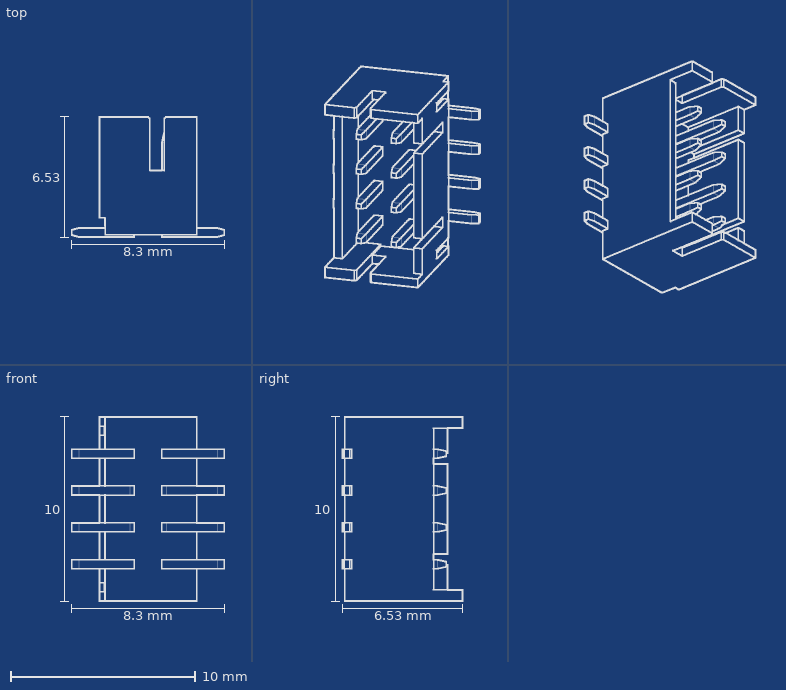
import cadquery as cq

length = 10.0
half_width = 2.65
depth = 6.41
left_end_wall = 0.5
right_end_wall = 0.6
side_wall = 0.49
cavity_floor = 2.01

foot_setback = 0.32
foot_depth = 0.93

left_rim = 5.6
right_rim = 4.83

wall_slot_inner = 2.45
wall_slot_outer = 3.03
wall_slot_floor = 2.01

groove_inner = 4.0
groove_outer = 4.5
groove_top = 3.01
groove_depth = 0.27

key_slot_left = 0.1
key_slot_right = 0.87
key_slot_floor = 3.51
key_slot_chamfer = 0.1

pin_size = 0.5
pin_pitch = 2.0
pins_per_row = 4
pin_span = 8.3
pin_drop = 0.12
pin_tip = 5.53
pin_taper = 0.11
tip_taper_length = 0.51
tail_taper_length = 0.38
bend_length = 0.23


def block(x0, x1, y0, y1, z0, z1):
    """Box between two corners."""
    return cq.Workplane("XY").box(x1 - x0, y1 - y0, z1 - z0, centered=False).translate((x0, y0, z0))


def setback_wedge(y_end, z0, z1):
    """Space outside the drafted face, from Y = 0 up to y_end."""
    draft = (foot_setback - groove_depth) / groove_top
    profile = [
        (-half_width, 0),
        (foot_setback - half_width, 0),
        (foot_setback - draft * y_end - half_width, y_end),
        (-half_width, y_end),
    ]
    return cq.Workplane("XY", origin=(0, 0, z0)).polyline(profile).close().extrude(z1 - z0)


def make_housing():
    """Box with its set-back foot, its cavity and the lowered rims of its side walls."""
    half_length = length / 2
    body = block(-half_width, half_width, 0, depth, -half_length, half_length)
    body = body.cut(setback_wedge(foot_depth, -half_length, half_length))
    inner = half_width - side_wall
    left_end = half_length - left_end_wall
    right_end = half_length - right_end_wall
    body = body.cut(block(-inner, key_slot_right, cavity_floor, depth, -left_end, left_end))
    body = body.cut(block(key_slot_right, inner, cavity_floor, depth, -right_end, right_end))
    body = body.cut(block(-half_width, -inner, left_rim, depth, -left_end, left_end))
    return body.cut(block(inner, half_width, right_rim, depth, -right_end, right_end))


def cut_left_wall(body):
    """Cut the slots and the outside grooves of the -X wall, mirrored about Z = 0."""
    inner = side_wall - half_width
    slot = block(-half_width, inner, wall_slot_floor, depth, wall_slot_inner, wall_slot_outer)
    groove = setback_wedge(groove_top, groove_inner, groove_outer)
    for tool in (slot, groove):
        body = body.cut(tool).cut(tool.mirror("XY"))
    return body


def cut_key_slot(body):
    """Cut the slot through both end walls, chamfered at its mouth."""
    profile = [
        (key_slot_left, key_slot_floor),
        (key_slot_right, key_slot_floor),
        (key_slot_right, depth - key_slot_chamfer),
        (key_slot_right + key_slot_chamfer, depth),
        (key_slot_left - key_slot_chamfer, depth),
        (key_slot_left, depth - key_slot_chamfer),
    ]
    slot = cq.Workplane("XY").polyline(profile).close().extrude(length / 2, both=True)
    return body.cut(slot)


def make_pin(rounded_bend):
    """Pin of the +X row at Z = 0: a contact along +Y and a solder tail along +X."""
    half = pin_size / 2
    heel = (pin_pitch - pin_size) / 2
    toe = heel + pin_size
    tail_end = pin_span / 2
    tail_top = pin_size - pin_drop
    outline = [
        (heel, pin_tip - tip_taper_length),
        (heel + pin_taper, pin_tip),
        (toe - pin_taper, pin_tip),
        (toe, pin_tip - tip_taper_length),
        (toe, tail_top),
        (tail_end - tail_taper_length, tail_top),
        (tail_end, tail_top - pin_taper),
        (tail_end, pin_taper - pin_drop),
        (tail_end - tail_taper_length, -pin_drop),
    ]
    profile = cq.Workplane("XY").polyline(outline)
    if rounded_bend:
        profile = profile.lineTo(heel + bend_length, -pin_drop)
        profile = profile.tangentArcPoint((heel, 0), relative=False)
    else:
        profile = profile.lineTo(heel, -pin_drop)
    pin = profile.close().extrude(half, both=True)
    bevel = [
        (pin_tip - tip_taper_length, half),
        (pin_tip, half),
        (pin_tip, half - pin_taper),
    ]
    bevel_tool = cq.Workplane("YZ", origin=(heel, 0, 0)).polyline(bevel).close().extrude(pin_size)
    return pin.cut(bevel_tool).cut(bevel_tool.mirror("XY"))


def add_pins(body):
    """Add both rows; the pins between the two end ones have rounded bends."""
    last = pins_per_row - 1
    for index in range(pins_per_row):
        height = (index - last / 2) * pin_pitch
        pin = make_pin(rounded_bend=0 < index < last).translate((0, 0, height))
        body = body.union(pin).union(pin.mirror("YZ"))
    return body


housing = cut_key_slot(cut_left_wall(make_housing()))
result = add_pins(housing)